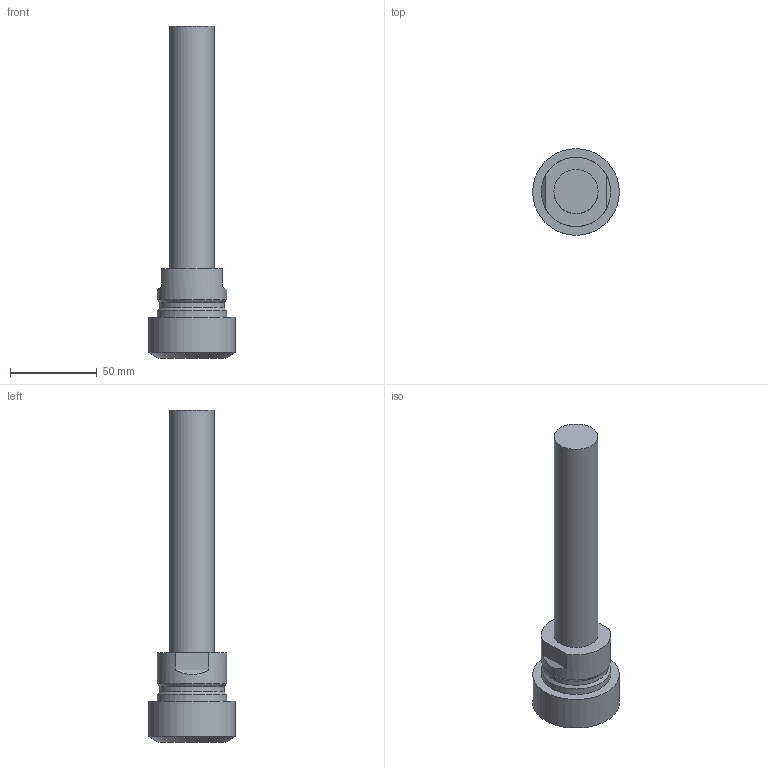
import cadquery as cq

total_height = 191.5
shank_length = 140.0
body_top = total_height - shank_length

shank_diameter = 25.4
body_diameter = 40.0
nut_diameter = 50.0

nut_height = 23.5
nut_face_diameter = 39.2
nut_cone_height = 3.3

groove_depth = 1.3
groove_flank_height = 1.7
groove_width = 6.3
groove_bottom = 27.4

flat_spacing = 35.0
flat_length = 10.0


def revolved_holder():
    """Nut, grooved body and shank as one turned solid about Z."""
    nut_radius = nut_diameter / 2
    body_radius = body_diameter / 2
    neck_radius = body_radius - groove_depth
    shank_radius = shank_diameter / 2
    face_radius = nut_face_diameter / 2
    groove_top = groove_bottom + groove_width

    profile = [
        (0, 0),
        (face_radius, 0),
        (nut_radius, nut_cone_height),
        (nut_radius, nut_height),
        (body_radius, nut_height),
        (body_radius, groove_bottom),
        (neck_radius, groove_bottom + groove_flank_height),
        (neck_radius, groove_top - groove_flank_height),
        (body_radius, groove_top),
        (body_radius, body_top),
        (shank_radius, body_top),
        (shank_radius, total_height),
        (0, total_height),
    ]
    return cq.Workplane("XZ").polyline(profile).close().revolve(360, (0, 0), (0, 1))


def flat_cutter(side):
    """Material removed for one wrench flat; side is +1 or -1 along X."""
    flat_x = flat_spacing / 2
    outer_x = nut_diameter / 2
    flat_bottom = body_top - flat_length
    outline = [
        (side * flat_x, body_top),
        (side * flat_x, flat_bottom),
        (side * outer_x, flat_bottom - (outer_x - flat_x)),
        (side * outer_x, body_top),
    ]
    return cq.Workplane("XZ").polyline(outline).close().extrude(body_diameter / 2, both=True)


result = revolved_holder()
for side in (-1, 1):
    result = result.cut(flat_cutter(side))